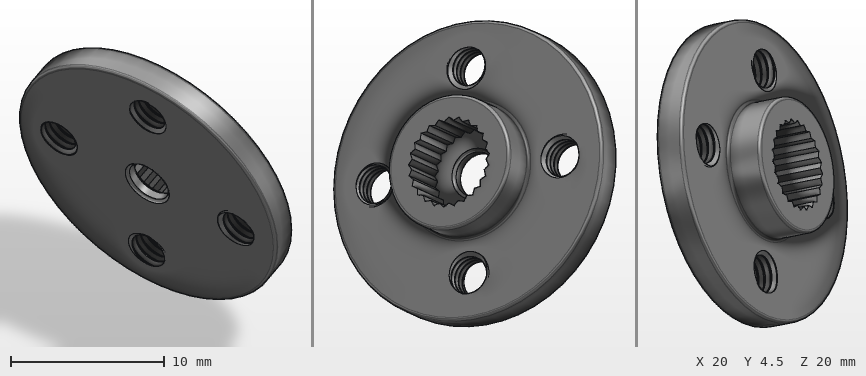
import cadquery as cq
import math

flange_radius = 10.0
flange_thickness = 2.0
hub_radius = 4.5
total_length = 4.5
edge_fillet = 0.2

bore_radius = 1.5
bore_land_depth = 1.0
spline_teeth = 25
spline_tip_radius = 2.75
spline_root_radius = 3.0

hole_count = 4
hole_circle_radius = 7.0
thread_minor_radius = 1.25
thread_depth = 0.3
thread_pitch = 0.5
thread_flank_angle = 30.0
thread_root_flat = thread_pitch / 8
thread_overlap = 0.05
thread_start_angle = 68.0


def make_body():
    """Revolve the half section of the flange, hub and plain bore around the Y axis."""
    r = edge_fillet
    hub_face = total_length
    flange_back = flange_thickness
    return (
        cq.Workplane("XY")
        .moveTo(bore_radius, r)
        .radiusArc((bore_radius + r, 0), r)
        .lineTo(flange_radius - r, 0)
        .radiusArc((flange_radius, r), -r)
        .lineTo(flange_radius, flange_back - r)
        .radiusArc((flange_radius - r, flange_back), -r)
        .lineTo(hub_radius + r, flange_back)
        .radiusArc((hub_radius, flange_back + r), r)
        .lineTo(hub_radius, hub_face - r)
        .radiusArc((hub_radius - r, hub_face), -r)
        .lineTo(0, hub_face)
        .lineTo(0, bore_land_depth)
        .lineTo(bore_radius + r, bore_land_depth)
        .radiusArc((bore_radius, bore_land_depth - r), r)
        .close()
        .revolve(360, (0, 0, 0), (0, 1, 0))
    )


def make_spline_socket():
    """Star-shaped cutter with one tooth tip pointing along -Z."""
    half_pitch = math.pi / spline_teeth
    points = []
    for step in range(2 * spline_teeth):
        radius = spline_root_radius if step % 2 else spline_tip_radius
        angle = step * half_pitch - math.pi / 2
        points.append((radius * math.cos(angle), radius * math.sin(angle)))
    return (
        cq.Workplane("XZ", origin=(0, bore_land_depth, 0))
        .polyline(points)
        .close()
        .extrude(bore_land_depth - total_length)
    )


def make_thread_groove():
    """Right-handed helical groove around Z, running one turn past both flange faces."""
    length = flange_thickness + 2 * thread_pitch
    path = cq.Wire.makeHelix(thread_pitch, length, thread_minor_radius)
    major_radius = thread_minor_radius + thread_depth
    inner_radius = thread_minor_radius - thread_overlap
    flank_rise = (major_radius - inner_radius) * math.tan(math.radians(thread_flank_angle))
    root_half_width = thread_root_flat / 2
    mouth_half_width = root_half_width + flank_rise
    groove = (
        cq.Workplane("XZ")
        .moveTo(inner_radius, -mouth_half_width)
        .lineTo(major_radius, -root_half_width)
        .lineTo(major_radius, root_half_width)
        .lineTo(inner_radius, mouth_half_width)
        .close()
        .sweep(cq.Workplane(obj=path), isFrenet=True)
    )
    return groove.translate((0, 0, -thread_pitch))


def make_threaded_hole():
    """Cutter for one threaded hole, drill and groove together, at the top of the hole circle."""
    drill = (
        cq.Workplane("XY", origin=(0, 0, -2 * thread_pitch))
        .circle(thread_minor_radius)
        .extrude(flange_thickness + 4 * thread_pitch)
    )
    groove = make_thread_groove().rotate((0, 0, 0), (0, 0, 1), thread_start_angle)
    cutter = drill.union(groove)
    cutter = cutter.rotate((0, 0, 0), (1, 0, 0), -90)
    return cutter.translate((0, 0, hole_circle_radius))


result = make_body().cut(make_spline_socket())
threaded_hole = make_threaded_hole()
for index in range(hole_count):
    turn = index * 360 / hole_count
    result = result.cut(threaded_hole.rotate((0, 0, 0), (0, 1, 0), turn))